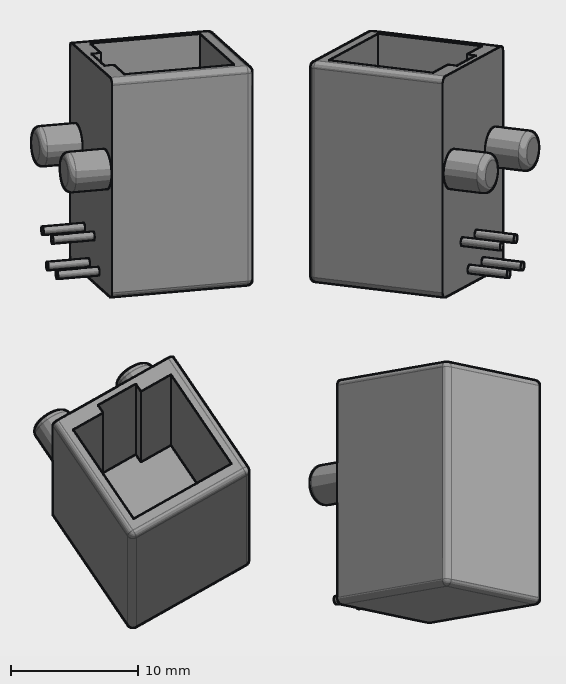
import cadquery as cq

WIDTH = 11.18
HEIGHT = 18.0
TOTAL_DEPTH = 15.1
PROJECTION = 3.4
DEPTH = TOTAL_DEPTH - PROJECTION
EDGE_RADIUS = 0.5

CAVITY_SIDE = 9.04
CAVITY_DEPTH = 13.5
CAVITY_FRONT = 1.35
NOTCH_WIDTH = 3.5
NOTCH_DEPTH = 0.77

PEG_DIAMETER = 3.2
PEG_SPACING = 7.61
PEG_HEIGHT = 10.15

PIN_DIAMETER = 0.7
PIN_PITCH = 1.28
PIN_COUNT = 4
PIN_ROW_HEIGHTS = (3.8, 1.26)


def make_housing():
    """Box rounded everywhere except around its flat front face."""
    box = cq.Workplane("XY").box(WIDTH, DEPTH, HEIGHT, centered=(True, False, False))
    return box.edges("|Y or >Y").fillet(EDGE_RADIUS)


def make_cavity():
    """Plug opening and its latch notch, cut down from the top."""
    floor = cq.Workplane("XY").workplane(offset=HEIGHT - CAVITY_DEPTH)
    centred_x = (True, False, False)
    opening = floor.center(0, CAVITY_FRONT).box(
        CAVITY_SIDE, CAVITY_SIDE, CAVITY_DEPTH, centered=centred_x
    )
    notch = floor.center(0, CAVITY_FRONT - NOTCH_DEPTH).box(
        NOTCH_WIDTH, NOTCH_DEPTH, CAVITY_DEPTH, centered=centred_x
    )
    return opening.union(notch)


def make_post(x, z, diameter):
    """Cylinder standing out from the front face."""
    return cq.Workplane("XZ").center(x, z).circle(diameter / 2).extrude(PROJECTION)


result = make_housing().cut(make_cavity())

for side in (-1, 1):
    peg = make_post(side * PEG_SPACING / 2, PEG_HEIGHT, PEG_DIAMETER)
    result = result.union(peg.faces("<Y").edges().fillet(EDGE_RADIUS))

for index in range(PIN_COUNT):
    pin_x = (index - (PIN_COUNT - 1) / 2) * PIN_PITCH
    pin_z = PIN_ROW_HEIGHTS[index % len(PIN_ROW_HEIGHTS)]
    result = result.union(make_post(pin_x, pin_z, PIN_DIAMETER))